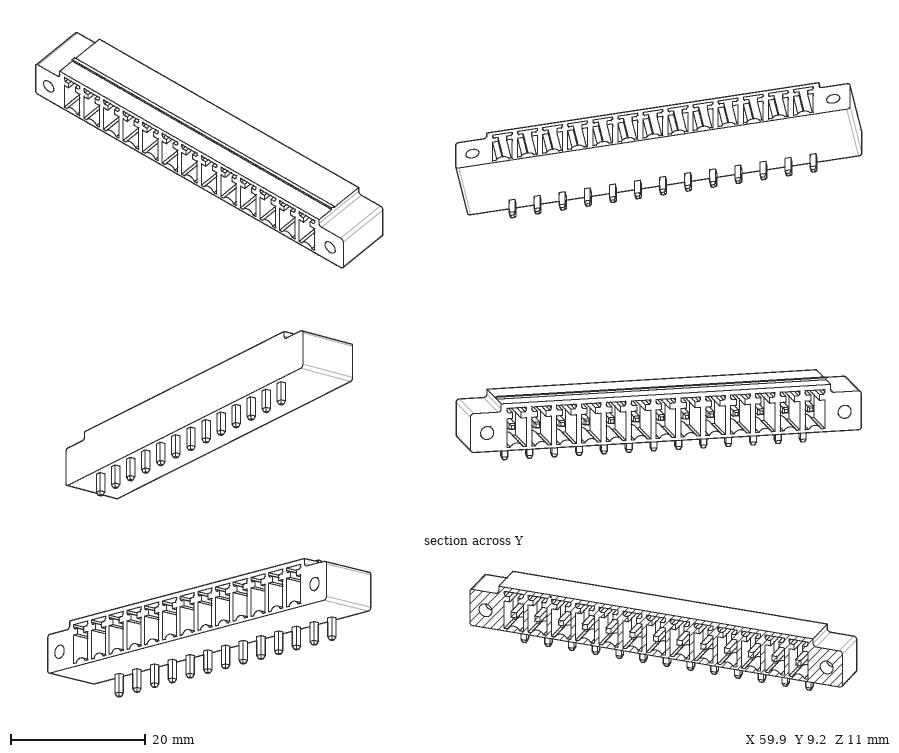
import cadquery as cq

pole_count = 13
pitch = 3.81
total_length = 59.92
depth = 9.2
total_height = 10.95
pin_drop = 3.4

flange_height = 6.0
rib_height = 0.3
housing_height = total_height - pin_drop - rib_height
housing_length = 50.5
edge_radius = 0.5

rib_front = 2.9
rib_width = 0.55

cavity_depth = 7.0
cavity_width = 3.0
cavity_floor = 0.5
shoulder_z = 4.9
neck_width = 1.3
neck_top = 5.8
key_lower_width = 2.6
key_taper_top = 6.15
cavity_top = 6.5
floor_bump_width = 1.95
floor_bump_height = 0.6

pin_size = 0.9
tip_size = 0.5
tip_length = 0.5
contact_z = 2.9
contact_tip_y = 2.5
tail_inset = 1.23
tail_y = depth - tail_inset

screw_spacing = 54.8
screw_diameter = 2.0
screw_depth = 6.0

contact_positions = [(i - (pole_count - 1) / 2) * pitch for i in range(pole_count)]


def make_housing():
    """Full-length block with rounded long edges and a raised centre section."""
    flanges = (
        cq.Workplane("XY")
        .box(total_length, depth, flange_height, centered=(True, False, False))
    )
    raised_section = (
        cq.Workplane("XY")
        .box(housing_length, depth, housing_height, centered=(True, False, False))
    )
    block = flanges.union(raised_section)
    outer_edges = block.faces("<X or >X").edges("|Y")
    block = outer_edges.fillet(edge_radius)
    inner_x = housing_length / 2
    margin = edge_radius / 2
    for side in (-1, 1):
        step_edge = cq.selectors.BoxSelector(
            (side * inner_x - margin, -margin, flange_height - margin),
            (side * inner_x + margin, depth + margin, flange_height + margin),
        )
        block = block.edges(step_edge).fillet(edge_radius)
    return block


def make_rib():
    return (
        cq.Workplane("XY")
        .workplane(offset=housing_height)
        .center(0, rib_front)
        .box(housing_length, rib_width, rib_height, centered=(True, False, False))
    )


def make_cavity(x):
    """Keyed socket opening to the front, with an arched bump along its floor."""
    half_width = cavity_width / 2
    half_neck = neck_width / 2
    half_key = key_lower_width / 2
    half_bump = floor_bump_width / 2
    return (
        cq.Workplane("XZ", origin=(x, 0, 0))
        .moveTo(-half_width, cavity_floor)
        .lineTo(-half_bump, cavity_floor)
        .threePointArc((0, cavity_floor + floor_bump_height), (half_bump, cavity_floor))
        .lineTo(half_width, cavity_floor)
        .lineTo(half_width, shoulder_z)
        .lineTo(half_neck, shoulder_z)
        .lineTo(half_neck, neck_top)
        .lineTo(half_key, neck_top)
        .lineTo(half_width, key_taper_top)
        .lineTo(half_width, cavity_top)
        .lineTo(-half_width, cavity_top)
        .lineTo(-half_width, key_taper_top)
        .lineTo(-half_key, neck_top)
        .lineTo(-half_neck, neck_top)
        .lineTo(-half_neck, shoulder_z)
        .lineTo(-half_width, shoulder_z)
        .close()
        .extrude(-cavity_depth)
    )


def make_square_pin(plane, length):
    """Square wire along the plane normal, ending in a tapered tip."""
    shank_length = length - tip_length
    shank = cq.Workplane(plane).rect(pin_size, pin_size).extrude(shank_length)
    tip = (
        cq.Workplane(plane)
        .workplane(offset=shank_length)
        .rect(pin_size, pin_size)
        .workplane(offset=tip_length)
        .rect(tip_size, tip_size)
        .loft(ruled=True)
    )
    return shank.union(tip)


def make_contact(x):
    """Right-angle contact: a leg inside the cavity and a solder tail below."""
    bend = (x, tail_y, contact_z)
    leg_plane = cq.Plane(origin=bend, xDir=(1, 0, 0), normal=(0, -1, 0))
    tail_plane = cq.Plane(origin=bend, xDir=(1, 0, 0), normal=(0, 0, -1))
    leg = make_square_pin(leg_plane, tail_y - contact_tip_y)
    tail = make_square_pin(tail_plane, contact_z + pin_drop)
    return leg.union(tail)


def make_screw_holes():
    return (
        cq.Workplane("XZ")
        .pushPoints([(side * screw_spacing / 2, contact_z) for side in (-1, 1)])
        .circle(screw_diameter / 2)
        .extrude(-screw_depth)
    )


result = make_housing().union(make_rib()).cut(make_screw_holes())
for position in contact_positions:
    result = result.cut(make_cavity(position))
for position in contact_positions:
    result = result.union(make_contact(position))